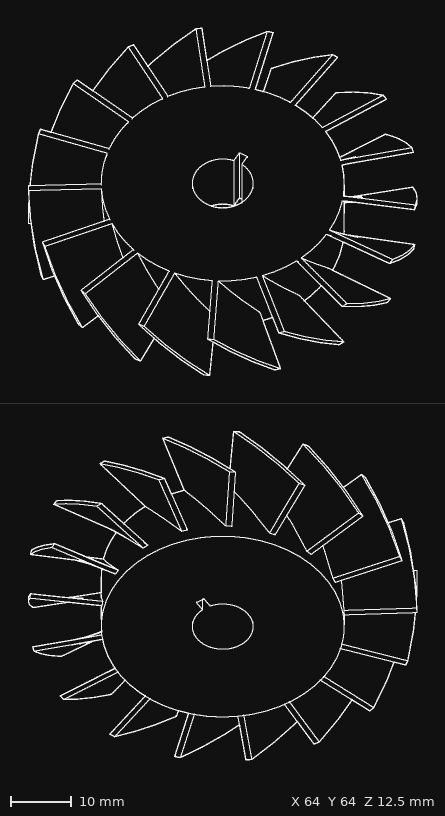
import cadquery as cq
import math

hub_diameter = 40.0
boss_height = 2.5
blade_height = 10.0
hub_height = boss_height + blade_height

bore_diameter = 10.0
keyway_width = 1.5
keyway_reach = 6.8

blade_count = 17
blade_thickness = 1.0
tip_diameter = 64.0
root_embed = 1.0
blade_twist = 20.0

ORIGIN = (0, 0, 0)
UP = (0, 0, 1)


def make_hub():
    """Boss and blade-carrying disc, kept as two bands that meet at the blade bottoms."""
    boss = cq.Workplane("XY").circle(hub_diameter / 2).extrude(boss_height)
    disc = (
        cq.Workplane("XY")
        .workplane(offset=boss_height)
        .circle(hub_diameter / 2)
        .extrude(blade_height)
    )
    return boss.union(disc, clean=False)


def make_blade():
    """One twisted radial blade whose top edge lies along +X and whose tip is round about Z."""
    root_radius = hub_diameter / 2 - root_embed
    tip_radius = tip_diameter / 2
    half_thickness = blade_thickness / 2
    tip_corner_x = math.sqrt(tip_radius**2 - half_thickness**2)
    blade = (
        cq.Workplane("XY")
        .moveTo(root_radius, -half_thickness)
        .lineTo(tip_corner_x, -half_thickness)
        .threePointArc((tip_radius, 0), (tip_corner_x, half_thickness))
        .lineTo(root_radius, half_thickness)
        .close()
        .twistExtrude(blade_height, -blade_twist)
    )
    return blade.rotate(ORIGIN, UP, blade_twist).translate((0, 0, boss_height))


def make_shaft_cut():
    """Through bore joined with its keyway."""
    bore = cq.Workplane("XY").circle(bore_diameter / 2).extrude(hub_height)
    keyway = (
        cq.Workplane("XY")
        .center(0, keyway_reach / 2)
        .rect(keyway_width, keyway_reach)
        .extrude(hub_height)
    )
    return bore.union(keyway)


impeller = make_hub()
first_blade = make_blade()
for index in range(blade_count):
    angle = index * 360.0 / blade_count
    impeller = impeller.union(first_blade.rotate(ORIGIN, UP, angle), clean=False)

result = impeller.cut(make_shaft_cut(), clean=False)